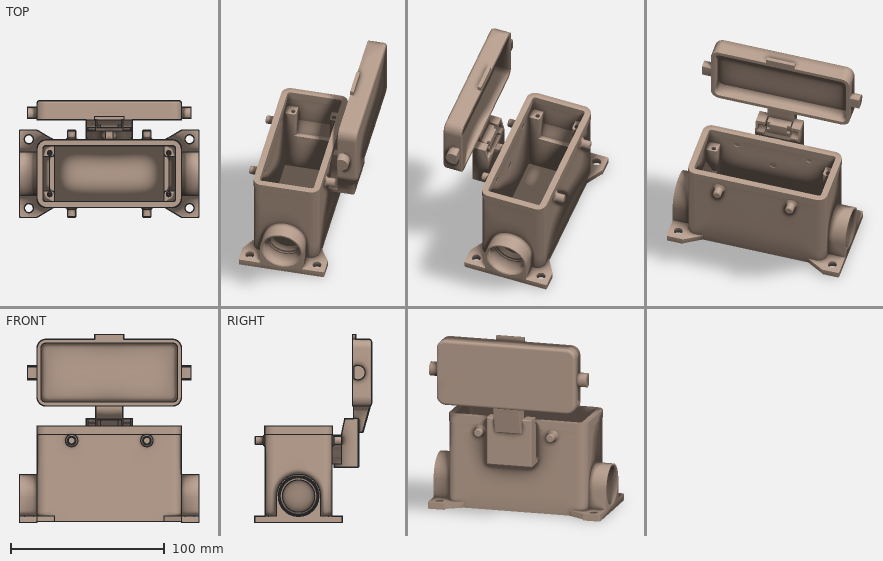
import cadquery as cq
import math

TOTAL_LENGTH = 117.0
TOTAL_HEIGHT = 122.5
SIDES = (-1, 1)

BODY_LENGTH = 93.8
BODY_WIDTH = 43.6
BODY_BOTTOM = 0.6
BODY_RADIUS = 5.9
RIM_LENGTH = 94.2
RIM_WIDTH = 44.2
RIM_RADIUS = 5.9
RIM_BOTTOM = 57.5
RIM_TOP = 63.0
OPENING_LENGTH = 86.0
OPENING_WIDTH = 36.1
OPENING_RADIUS = 1.6
CAVITY_CLEARANCE = 0.4
CAVITY_RADIUS = 2.5
CAVITY_LENGTH = OPENING_LENGTH + 2 * CAVITY_CLEARANCE
CAVITY_WIDTH = OPENING_WIDTH + 2 * CAVITY_CLEARANCE
FLOOR_TOP = 4.3

FOOT_END = TOTAL_LENGTH / 2
FOOT_HALF_WIDTH = 28.5
FOOT_TOP = 4.3
FOOT_SHOULDER = 47.2
FOOT_TAPER_END = 35.8
FOOT_CORNER_RADIUS = 1.0
FOOT_HOLE_DIAMETER = 5.8
FOOT_HOLE_X = 52.3
FOOT_HOLE_Y = 22.4

ENTRY_RADIUS = 14.2
ENTRY_AXIS_Z = 17.3
ENTRY_BORE_RADIUS = 12.7
ENTRY_BORE_END = 46.9
ENTRY_STEP_RADIUS = 12.0
ENTRY_STEP_END = 45.9
ENTRY_BORE_CHAMFER = 0.5
KNOCKOUT_RADIUS = 10.5
KNOCKOUT_END = 41.6

POST_INNER_X = 35.8
POST_INNER_Y = 11.1
POST_TOP = 50.6
POST_CORNER_RADIUS = 1.7
POST_HOLE_DIAMETER = 3.1
POST_HOLE_DEPTH = 9.8
POST_PILOT_DIAMETER = 1.5
POST_PILOT_DEPTH = 12.2
POST_HOLE_X = 38.7
POST_HOLE_Y = 13.5
BLOCK_LEDGE_X = 38.8
BLOCK_LEDGE_TOP = 31.6
BLOCK_WALL_TOP = 39.2

PIN_DIAMETER = 5.4
PIN_X = 24.5
PIN_Z = 53.4
PIN_END = 28.4
PIN_CHAMFER = 0.5
COLLAR_DIAMETER = 8.1
COLLAR_LENGTH = 1.3

MARK_DEPTH = 0.5
PIN_MARK_DIAMETER = 3.9
BRACKET_MARK_DIAMETER = 4.9
BRACKET_MARK_Z = 41.4

BRACKET_HALF_WIDTH = 15.1
BRACKET_FRONT = 27.9
BRACKET_BACK = 39.2
BRACKET_BOTTOM = 36.0
BRACKET_TOP = 67.6
BRACKET_TOP_FRONT = 30.0
BRACKET_CHAMFER = 0.5
HINGE_FLOOR = 57.7
LIP_FRONT = 23.2
LIP_TOP = 38.1
CHEEK_SKIN = 1.2
CHEEK_POCKET_BOTTOM = 59.5
CHEEK_POCKET_TOP = 64.9
CHEEK_POCKET_BACK = 34.3

WEB_CREST_X = 2.6
WEB_CREST_Z = 57.0
WEB_FLANK_X = 4.9
WEB_FLANK_Z = 48.9
WEB_TOE_X = 10.8
WEB_TOE_Z = 41.3
WEB_FLANK_SAG = 1.5

COVER_LENGTH = 94.2
COVER_BOTTOM = 75.8
COVER_TOP = 119.4
COVER_FRONT = 35.0
COVER_BACK = 47.7
COVER_RADIUS = 6.0
COVER_WALL = 2.6
COVER_PLATE = 2.5
COVER_EDGE_RADIUS = 2.0
TAB_LENGTH = 19.1
TAB_THICKNESS = 2.3

EAR_RADIUS = 4.7
EAR_END = 53.3
EAR_AXIS_Y = 38.7
EAR_AXIS_Z = 97.6
EAR_FLAT_Y = 36.0

ARM_WIDTH = 17.9
ARM_FRONT = 35.6
ARM_BACK_TOP = 46.8
ARM_BACK_BOTTOM = 42.0
ARM_BOTTOM = 58.7
ARM_CHAMFER = 0.5
KNUCKLE_FRONT = 32.6
KNUCKLE_TOP_FRONT_Z = 66.8
KNUCKLE_TOP_BACK_Z = 67.4
KNUCKLE_HALF_WIDTH = 7.8
PANEL_FRONT = 30.0
PANEL_NOTCH_X = 5.8
PANEL_NOTCH_BOTTOM = 61.9
PANEL_NOTCH_BACK = 31.8


def block(x_range, y_range, z_range):
    """Box between the given pairs of coordinates."""
    (x0, x1), (y0, y1), (z0, z1) = sorted(x_range), sorted(y_range), sorted(z_range)
    return cq.Workplane("XY").box(x1 - x0, y1 - y0, z1 - z0, centered=False).translate((x0, y0, z0))


def rounded_block(length, width, radius, bottom, top):
    """Upright block centred on the Z axis with rounded vertical edges."""
    plate = cq.Workplane("XY").workplane(offset=bottom).rect(length, width).extrude(top - bottom)
    return plate.edges("|Z").fillet(radius)


def cylinder_x(radius, start, end, y, z):
    """Cylinder along X between two X positions."""
    return cq.Workplane("YZ", origin=(start, 0, 0)).center(y, z).circle(radius).extrude(end - start)


def cylinder_y(radius, start, end, x, z):
    """Cylinder along Y between two Y positions."""
    return cq.Workplane("XZ", origin=(0, start, 0)).center(x, z).circle(radius).extrude(start - end)


def extrude_across(points, half_width):
    """Y-Z outline extruded symmetrically about X = 0."""
    return cq.Workplane("YZ").polyline(points).close().extrude(half_width, both=True)


def shell_outside():
    body = rounded_block(BODY_LENGTH, BODY_WIDTH, BODY_RADIUS, BODY_BOTTOM, RIM_BOTTOM)
    rim = rounded_block(RIM_LENGTH, RIM_WIDTH, RIM_RADIUS, RIM_BOTTOM, RIM_TOP)
    return body.union(rim)


def shell_cavity():
    cavity = rounded_block(CAVITY_LENGTH, CAVITY_WIDTH, CAVITY_RADIUS, FLOOR_TOP, RIM_BOTTOM)
    opening = rounded_block(OPENING_LENGTH, OPENING_WIDTH, OPENING_RADIUS, RIM_BOTTOM, RIM_TOP)
    return cavity.union(opening)


def foot(side):
    """Tapered foot plate at one end, with a thicker pad outside the shell and two holes."""
    outline = [
        (side * FOOT_TAPER_END, -BODY_WIDTH / 2),
        (side * FOOT_SHOULDER, -FOOT_HALF_WIDTH),
        (side * FOOT_END, -FOOT_HALF_WIDTH),
        (side * FOOT_END, FOOT_HALF_WIDTH),
        (side * FOOT_SHOULDER, FOOT_HALF_WIDTH),
        (side * FOOT_TAPER_END, BODY_WIDTH / 2),
    ]
    plate = cq.Workplane("XY").polyline(outline).close().extrude(FOOT_TOP)
    outer_end = ">X" if side > 0 else "<X"
    plate = plate.faces(outer_end).edges("|Z").fillet(FOOT_CORNER_RADIUS)
    underside = block(
        (side * FOOT_TAPER_END, side * FOOT_SHOULDER),
        (-FOOT_HALF_WIDTH, FOOT_HALF_WIDTH),
        (0, BODY_BOTTOM),
    )
    hole_places = [(side * FOOT_HOLE_X, -FOOT_HOLE_Y), (side * FOOT_HOLE_X, FOOT_HOLE_Y)]
    holes = cq.Workplane("XY").pushPoints(hole_places).circle(FOOT_HOLE_DIAMETER / 2).extrude(FOOT_TOP)
    return plate.cut(underside).cut(holes)


def entry_boss(side):
    """Arched boss outside one end wall, standing on the foot."""
    wall_x = side * CAVITY_LENGTH / 2
    end_x = side * FOOT_END
    arch = cylinder_x(ENTRY_RADIUS, wall_x, end_x, 0, ENTRY_AXIS_Z)
    arch = arch.intersect(
        block((wall_x, end_x), (-ENTRY_RADIUS, ENTRY_RADIUS), (FOOT_TOP, ENTRY_AXIS_Z + ENTRY_RADIUS))
    )
    base = block((wall_x, end_x), (-ENTRY_RADIUS, ENTRY_RADIUS), (BODY_BOTTOM, ENTRY_AXIS_Z))
    return arch.union(base)


def entry_bore(side):
    """Stepped blind bore of one cable entry, with a chamfered mouth."""
    bore = cylinder_x(ENTRY_BORE_RADIUS, side * ENTRY_BORE_END, side * FOOT_END, 0, ENTRY_AXIS_Z)
    step = cylinder_x(ENTRY_STEP_RADIUS, side * ENTRY_STEP_END, side * FOOT_END, 0, ENTRY_AXIS_Z)
    knockout = cylinder_x(KNOCKOUT_RADIUS, side * KNOCKOUT_END, side * FOOT_END, 0, ENTRY_AXIS_Z)
    mouth = cq.Solid.makeCone(
        ENTRY_BORE_RADIUS + ENTRY_BORE_CHAMFER,
        ENTRY_BORE_RADIUS,
        ENTRY_BORE_CHAMFER,
        cq.Vector(side * FOOT_END, 0, ENTRY_AXIS_Z),
        cq.Vector(-side, 0, 0),
    )
    return bore.union(step).union(knockout).union(cq.Workplane(mouth))


def screw_post(side, end):
    """Square post in a cavity corner; its free corner is rounded above the ledge."""
    x_range = (side * POST_INNER_X, side * CAVITY_LENGTH / 2)
    y_range = (end * POST_INNER_Y, end * CAVITY_WIDTH / 2)
    base = block(x_range, y_range, (FLOOR_TOP, BLOCK_LEDGE_TOP))
    column = block(x_range, y_range, (BLOCK_LEDGE_TOP, POST_TOP))
    free_corner = (side * POST_INNER_X, end * POST_INNER_Y, (BLOCK_LEDGE_TOP + POST_TOP) / 2)
    column = column.edges(cq.NearestToPointSelector(free_corner)).fillet(POST_CORNER_RADIUS)
    return base.union(column)


def post_hole(side, end):
    """Blind screw hole with a smaller pilot hole at its bottom."""
    top = cq.Workplane("XY", origin=(side * POST_HOLE_X, end * POST_HOLE_Y, POST_TOP))
    hole = top.circle(POST_HOLE_DIAMETER / 2).extrude(-POST_HOLE_DEPTH)
    pilot = top.circle(POST_PILOT_DIAMETER / 2).extrude(-POST_PILOT_DEPTH)
    return hole.union(pilot)


def end_block(side):
    """Block inside one end wall: ledge, slope up to the wall, and two screw posts."""
    wall_x = CAVITY_LENGTH / 2
    outline = [
        (side * POST_INNER_X, FLOOR_TOP),
        (side * wall_x, FLOOR_TOP),
        (side * wall_x, BLOCK_WALL_TOP),
        (side * BLOCK_LEDGE_X, BLOCK_LEDGE_TOP),
        (side * POST_INNER_X, BLOCK_LEDGE_TOP),
    ]
    filling = cq.Workplane("XZ").polyline(outline).close()
    filling = filling.extrude(POST_INNER_Y + POST_CORNER_RADIUS, both=True)
    for end in SIDES:
        filling = filling.union(screw_post(side, end))
        filling = filling.cut(post_hole(side, end))
    cavity = rounded_block(CAVITY_LENGTH, CAVITY_WIDTH, CAVITY_RADIUS, FLOOR_TOP, RIM_BOTTOM)
    return filling.intersect(cavity)


def locking_pin(x, side):
    """Pin on a long wall, with a conical collar at its root and a chamfered end."""
    wall_y = BODY_WIDTH / 2
    profile = [
        (wall_y, 0),
        (wall_y, COLLAR_DIAMETER / 2),
        (wall_y + COLLAR_LENGTH, PIN_DIAMETER / 2),
        (PIN_END - PIN_CHAMFER, PIN_DIAMETER / 2),
        (PIN_END, PIN_DIAMETER / 2 - PIN_CHAMFER),
        (PIN_END, 0),
    ]
    pin = cq.Workplane("YZ").polyline(profile).close().revolve(360, (0, 0, 0), (1, 0, 0))
    if side < 0:
        pin = pin.mirror("XZ")
    return pin.translate((x, 0, PIN_Z))


def wall_mark(diameter, x, z, side):
    """Shallow round recess in the inner face of a long wall."""
    wall_y = side * CAVITY_WIDTH / 2
    return cylinder_y(diameter / 2, 0, wall_y + side * MARK_DEPTH, x, z)


def bracket_body():
    """Hinge bracket with its bottom lip, slanted front and slot for the hinge arm."""
    outline = [
        (LIP_FRONT, BRACKET_BOTTOM),
        (BRACKET_BACK, BRACKET_BOTTOM),
        (BRACKET_BACK, BRACKET_TOP),
        (BRACKET_TOP_FRONT, BRACKET_TOP),
        (BRACKET_FRONT, HINGE_FLOOR),
        (BRACKET_FRONT, LIP_TOP),
        (LIP_FRONT, LIP_TOP),
    ]
    bracket = extrude_across(outline, BRACKET_HALF_WIDTH)
    bracket = bracket.faces(">Y").edges().chamfer(BRACKET_CHAMFER)
    slot = block(
        (-ARM_WIDTH / 2, ARM_WIDTH / 2), (BRACKET_FRONT, BRACKET_BACK), (HINGE_FLOOR, BRACKET_TOP)
    )
    bracket = bracket.cut(slot)
    for side in SIDES:
        x_range = (side * ARM_WIDTH / 2, side * (BRACKET_HALF_WIDTH - CHEEK_SKIN))
        pocket = block(
            x_range, (BRACKET_FRONT, CHEEK_POCKET_BACK), (CHEEK_POCKET_BOTTOM, CHEEK_POCKET_TOP)
        )
        setback = block(
            x_range, (BRACKET_FRONT, BRACKET_TOP_FRONT), (CHEEK_POCKET_BOTTOM, BRACKET_TOP)
        )
        bracket = bracket.cut(pocket).cut(setback)
    return bracket


def bracket_web():
    """Flared web between the back wall and the bracket, with hollow flanks."""
    chord_x = WEB_TOE_X - WEB_FLANK_X
    chord_z = WEB_TOE_Z - WEB_FLANK_Z
    chord = math.hypot(chord_x, chord_z)
    hollow_x = (WEB_FLANK_X + WEB_TOE_X) / 2 + WEB_FLANK_SAG * chord_z / chord
    hollow_z = (WEB_FLANK_Z + WEB_TOE_Z) / 2 - WEB_FLANK_SAG * chord_x / chord
    half = (
        cq.Workplane("XZ", origin=(0, BRACKET_FRONT, 0))
        .moveTo(0, LIP_TOP)
        .lineTo(0, WEB_CREST_Z)
        .lineTo(WEB_CREST_X, WEB_CREST_Z)
        .lineTo(WEB_FLANK_X, WEB_FLANK_Z)
        .threePointArc((hollow_x, hollow_z), (WEB_TOE_X, WEB_TOE_Z))
        .lineTo(BRACKET_HALF_WIDTH, LIP_TOP)
        .close()
        .extrude(BRACKET_FRONT - BODY_WIDTH / 2)
    )
    return half.union(half.mirror("YZ"))


def make_housing():
    housing = shell_outside()
    for side in SIDES:
        housing = housing.union(foot(side)).union(entry_boss(side))
    housing = housing.cut(shell_cavity())
    for side in SIDES:
        housing = housing.union(end_block(side)).cut(entry_bore(side))
    for side in SIDES:
        for x in (-PIN_X, PIN_X):
            housing = housing.union(locking_pin(x, side))
            housing = housing.cut(wall_mark(PIN_MARK_DIAMETER, x, PIN_Z, side))
    housing = housing.cut(wall_mark(BRACKET_MARK_DIAMETER, 0, BRACKET_MARK_Z, 1))
    return housing.union(bracket_web()).union(bracket_body())


def cover_tray():
    """Shallow tray open toward -Y, with rounded corners and a rounded back edge."""
    height = COVER_TOP - COVER_BOTTOM
    depth = COVER_BACK - COVER_FRONT
    front = cq.Workplane("XZ", origin=(0, COVER_FRONT, (COVER_TOP + COVER_BOTTOM) / 2))
    tray = front.rect(COVER_LENGTH, height).extrude(-depth)
    tray = tray.edges("|Y").fillet(COVER_RADIUS)
    tray = tray.faces(">Y").edges().fillet(COVER_EDGE_RADIUS)
    recess = front.rect(COVER_LENGTH - 2 * COVER_WALL, height - 2 * COVER_WALL)
    recess = recess.extrude(COVER_PLATE - depth).edges("|Y").fillet(COVER_RADIUS - COVER_WALL)
    return tray.cut(recess)


def cover_tab():
    return block(
        (-TAB_LENGTH / 2, TAB_LENGTH / 2),
        (COVER_FRONT, COVER_FRONT + TAB_THICKNESS),
        (COVER_TOP - COVER_WALL, TOTAL_HEIGHT),
    )


def cover_ear(side):
    """Round ear with a flat toward the open side of the cover."""
    start = side * (COVER_LENGTH / 2 - COVER_WALL)
    end = side * EAR_END
    ear = cylinder_x(EAR_RADIUS, start, end, EAR_AXIS_Y, EAR_AXIS_Z)
    keep = block(
        (start, end),
        (EAR_FLAT_Y, EAR_AXIS_Y + EAR_RADIUS),
        (EAR_AXIS_Z - EAR_RADIUS, EAR_AXIS_Z + EAR_RADIUS),
    )
    return ear.intersect(keep)


def hinge_arm():
    """Tapered arm below the cover; its root is buried in the cover wall."""
    outline = [
        (ARM_FRONT, COVER_BOTTOM),
        (ARM_FRONT, ARM_BOTTOM),
        (ARM_BACK_BOTTOM, ARM_BOTTOM),
        (ARM_BACK_TOP, COVER_BOTTOM),
    ]
    arm = extrude_across(outline, ARM_WIDTH / 2)
    arm = arm.faces(">Y").edges("not >Z").chamfer(ARM_CHAMFER)
    root = block(
        (-ARM_WIDTH / 2, ARM_WIDTH / 2),
        (ARM_FRONT, COVER_BACK - COVER_EDGE_RADIUS),
        (COVER_BOTTOM, COVER_BOTTOM + COVER_WALL),
    )
    return arm.union(root)


def hinge_knuckle():
    """Block in front of the arm's lower end: sloped top, flat face and two notched corners."""
    outline = [
        (ARM_FRONT, ARM_BOTTOM),
        (ARM_FRONT, KNUCKLE_TOP_BACK_Z),
        (KNUCKLE_FRONT, KNUCKLE_TOP_FRONT_Z),
        (PANEL_FRONT, KNUCKLE_TOP_FRONT_Z),
        (PANEL_FRONT, ARM_BOTTOM),
    ]
    knuckle = extrude_across(outline, KNUCKLE_HALF_WIDTH)
    for side in SIDES:
        notch = block(
            (side * PANEL_NOTCH_X, side * KNUCKLE_HALF_WIDTH),
            (PANEL_FRONT, PANEL_NOTCH_BACK),
            (PANEL_NOTCH_BOTTOM, KNUCKLE_TOP_FRONT_Z),
        )
        knuckle = knuckle.cut(notch)
    return knuckle


def make_cover():
    cover = cover_tray().union(cover_tab()).union(hinge_arm()).union(hinge_knuckle())
    for side in SIDES:
        cover = cover.union(cover_ear(side))
    return cover


housing = make_housing()
cover = make_cover()

result = cq.Compound.makeCompound([housing.solids().val(), cover.solids().val()])